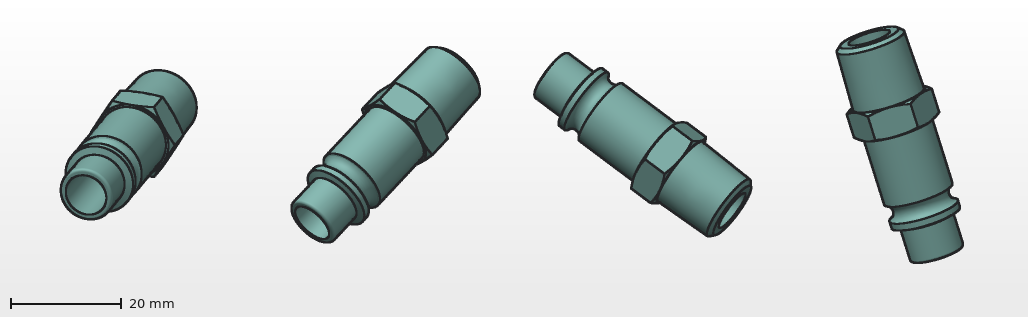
import cadquery as cq
import math

length = 42.0
bore_radius = 3.9

nose_radius = 5.05
nose_fillet = 0.5

collar_front = 6.6
collar_rim_start = 7.0
collar_rim_end = 8.35
groove_bevel_length = 0.2
groove_mouth_radius = 6.05

groove_center = 10.0
groove_floor_radius = 5.35
groove_half_width = groove_center - collar_rim_end

body_radius = 6.5

hex_across_flats = 14.0
hex_start = 24.53
hex_end = 30.07
hex_bevel = 0.5

taper_root_radius = 6.75
taper_tip_radius = 6.43
taper_tip = 41.2
end_face_radius = 5.55


def revolve_about_y(profile):
    """Close a radius-height outline and turn it about the Y axis."""
    return profile.close().revolve(360, (0, 0, 0), (0, 1, 0))


def turned_body():
    """Nose, collar, groove, body and tapered end."""
    arc_half_width = groove_half_width - groove_bevel_length
    arc_start = groove_center - arc_half_width
    arc_end = groove_center + arc_half_width
    fillet_mid = nose_fillet * (1 - math.sqrt(0.5))
    profile = (
        cq.Workplane("XY")
        .lineTo(nose_radius - nose_fillet, 0)
        .threePointArc((nose_radius - fillet_mid, fillet_mid), (nose_radius, nose_fillet))
        .lineTo(nose_radius, collar_front)
        .lineTo(body_radius, collar_rim_start)
        .lineTo(body_radius, collar_rim_end)
        .lineTo(groove_mouth_radius, arc_start)
        .threePointArc((groove_floor_radius, groove_center), (groove_mouth_radius, arc_end))
        .lineTo(body_radius, groove_center + groove_half_width)
        .lineTo(body_radius, hex_end)
        .lineTo(taper_root_radius, hex_end)
        .lineTo(taper_tip_radius, taper_tip)
        .lineTo(end_face_radius, length)
        .lineTo(0, length)
    )
    return revolve_about_y(profile)


def hexagon():
    """Hexagon with corners on X and conical bevels on both end faces."""
    flat_radius = hex_across_flats / 2
    corner_radius = flat_radius / math.cos(math.radians(30))
    prism = (
        cq.Workplane("XZ", origin=(0, hex_start, 0))
        .polygon(6, 2 * corner_radius)
        .extrude(hex_start - hex_end)
    )
    bevel_envelope = revolve_about_y(
        cq.Workplane("XY")
        .moveTo(0, hex_start)
        .lineTo(flat_radius, hex_start)
        .lineTo(corner_radius, hex_start + hex_bevel)
        .lineTo(corner_radius, hex_end - hex_bevel)
        .lineTo(flat_radius, hex_end)
        .lineTo(0, hex_end)
    )
    return prism.intersect(bevel_envelope)


def bore():
    """Straight bore through the whole length."""
    return cq.Workplane("XZ").circle(bore_radius).extrude(-length)


result = turned_body().union(hexagon()).cut(bore())